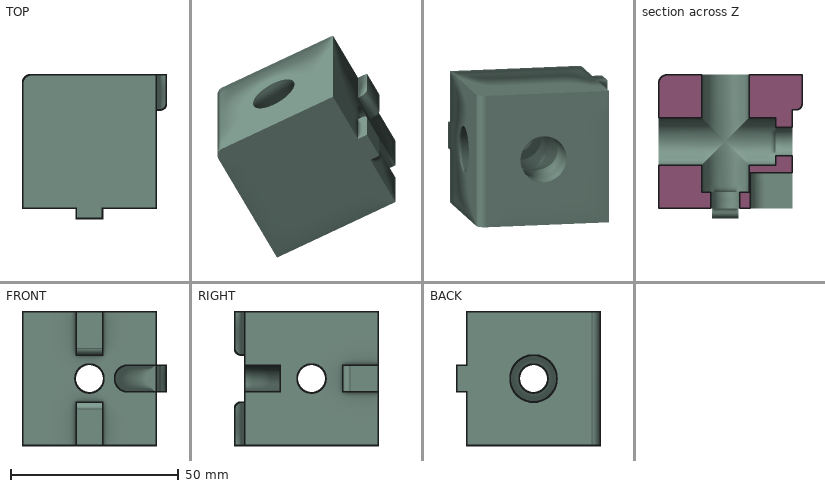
import cadquery as cq

side = 40.0
middle = side / 2
corner_radius = 2.6

key_height = 3.0
key_rounding = 2.0
front_key_width = 7.9
front_key_length = 13.0
side_key_width = 8.0
side_key_length = 10.6
slot_width = side_key_width
slot_depth = side_key_length
slot_end_x = 27.48

bore_diameter = 8.5
counterbore_diameter = 14.0
bore_seat_thickness = 5.0
counterbore_depth = side - bore_seat_thickness


def block():
    """Cube with the vertical edge at -X, +Y rounded."""
    return cq.Workplane("XY").box(side, side, side, centered=False).edges("<X and >Y").fillet(corner_radius)


def front_key(base_z, rounded_edge):
    """Key on the -Y face, rounded at its end nearest the bore."""
    key = cq.Workplane("XY").box(front_key_width, key_height, front_key_length, centered=False)
    key = key.edges(rounded_edge).fillet(key_rounding)
    return key.translate((middle - front_key_width / 2, -key_height, base_z))


def side_key():
    """Key on the +X face, reaching the +Y face and rounded at its other end."""
    key = cq.Workplane("XY").box(key_height, side_key_length, side_key_width, centered=False)
    key = key.edges(">X and <Y").fillet(key_rounding)
    return key.translate((side, side - side_key_length, middle - side_key_width / 2))


def slot():
    """Round-ended cutter, open to the -Y and +X faces."""
    radius = slot_width / 2
    return (
        cq.Workplane("XZ")
        .moveTo(side, middle - radius)
        .lineTo(slot_end_x + radius, middle - radius)
        .threePointArc((slot_end_x, middle), (slot_end_x + radius, middle + radius))
        .lineTo(side, middle + radius)
        .close()
        .extrude(-slot_depth)
    )


def bore_x():
    """Bore along X, counterbored from the -X face."""
    face = cq.Workplane("YZ").center(middle, middle)
    through = face.circle(bore_diameter / 2).extrude(side)
    return through.union(face.circle(counterbore_diameter / 2).extrude(counterbore_depth))


def bore_y():
    """Bore along Y, counterbored from the +Y face."""
    face = cq.Workplane("XZ", origin=(0, side, 0)).center(middle, middle)
    through = face.circle(bore_diameter / 2).extrude(side)
    return through.union(face.circle(counterbore_diameter / 2).extrude(counterbore_depth))


result = (
    block()
    .union(front_key(0, ">Z and <Y"))
    .union(front_key(side - front_key_length, "<Z and <Y"))
    .union(side_key())
    .cut(slot())
    .cut(bore_x())
    .cut(bore_y())
)